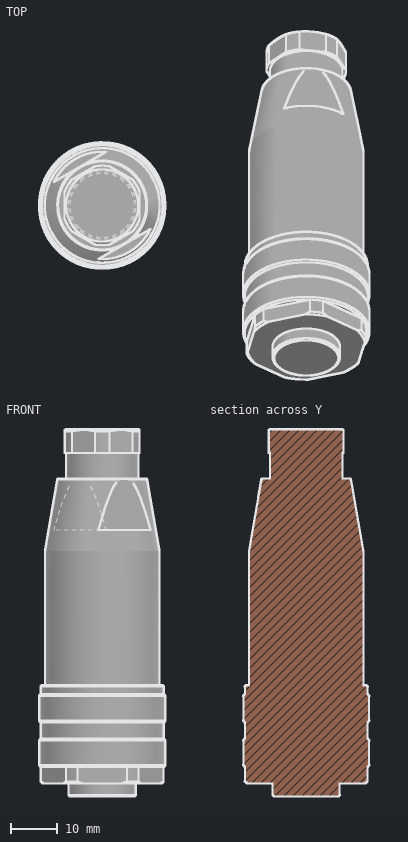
import cadquery as cq
import math

total_height = 78.4
nut_base_z = 2.8
lower_ring_z = 6.3
upper_ring_z = 15.8
collar_top_z = 23.8
cone_base_z = 52.4
cone_top_z = 67.9
cap_base_z = 73.35

plug_radius = 7.2
sleeve_radius = 13.15
ring_radius = 13.5
body_radius = 12.25
cone_top_radius = 9.6
neck_radius = 7.75

ring_height = 6.15
ring_bevel_height = 0.45

plug_chamfer = 0.35
collar_chamfer = 0.25
cone_top_chamfer = 0.2

hex_sides = 6
hex_step_angle = 360 / hex_sides
nut_corner_angle = 0
cap_corner_angle = 30
nut_across_flats = 24.0
nut_corner_radius = 13.12
nut_chamfer = 0.45
cap_across_flats = 16.0
cap_corner_radius = 8.5
cap_face_radius = 7.7
cap_chamfer_angle = 30.0

flat_floor_z = 56.9
flat_across = 19.0
flat_normal_angle = -60.0


def revolve_profile(points):
    """Solid of revolution about Z; points are (radius, z) pairs."""
    return cq.Workplane("XZ").polyline(points).close().revolve(360, (0, 0), (0, 1))


def make_plug():
    return (
        cq.Workplane("XY")
        .circle(plug_radius)
        .extrude(nut_base_z)
        .faces("<Z")
        .edges()
        .chamfer(plug_chamfer)
    )


def make_sleeve():
    sleeve = (
        cq.Workplane("XY")
        .workplane(offset=lower_ring_z)
        .circle(sleeve_radius)
        .extrude(collar_top_z - lower_ring_z)
        .faces(">Z")
        .edges()
        .chamfer(collar_chamfer)
    )
    for base_z in (lower_ring_z, upper_ring_z):
        sleeve = sleeve.union(make_grip_ring(base_z))
    return sleeve


def make_grip_ring(base_z):
    top_z = base_z + ring_height
    return revolve_profile([
        (0, base_z),
        (sleeve_radius, base_z),
        (ring_radius, base_z + ring_bevel_height),
        (ring_radius, top_z - ring_bevel_height),
        (sleeve_radius, top_z),
        (0, top_z),
    ])


def make_body():
    """Straight handle, tapered shoulder and neck, with two flats on the taper."""
    body = revolve_profile([
        (0, collar_top_z),
        (body_radius, collar_top_z),
        (body_radius, cone_base_z),
        (cone_top_radius, cone_top_z - cone_top_chamfer),
        (cone_top_radius - cone_top_chamfer, cone_top_z),
        (neck_radius, cone_top_z),
        (neck_radius, cap_base_z),
        (0, cap_base_z),
    ])
    cut_depth = body_radius
    for side in (1, -1):
        cutter = (
            cq.Workplane("XY")
            .box(cut_depth, 2 * body_radius, cone_top_z - flat_floor_z, centered=(True, True, False))
            .translate((side * (flat_across + cut_depth) / 2, 0, flat_floor_z))
            .rotate((0, 0, 0), (0, 0, 1), flat_normal_angle)
        )
        body = body.cut(cutter)
    return body


def make_hexagon(across_flats, first_corner_angle, base_z, height):
    corner_distance = across_flats / math.sqrt(3)
    corners = []
    for index in range(hex_sides):
        angle = math.radians(first_corner_angle + hex_step_angle * index)
        corners.append((corner_distance * math.cos(angle), corner_distance * math.sin(angle)))
    return cq.Workplane("XY").workplane(offset=base_z).polyline(corners).close().extrude(height)


def make_nut():
    """Lower hexagon: corners on X, turned round and chamfered at the bottom."""
    hexagon = make_hexagon(nut_across_flats, nut_corner_angle, nut_base_z, lower_ring_z - nut_base_z)
    envelope = revolve_profile([
        (0, nut_base_z),
        (nut_corner_radius - nut_chamfer, nut_base_z),
        (nut_corner_radius, nut_base_z + nut_chamfer),
        (nut_corner_radius, lower_ring_z),
        (0, lower_ring_z),
    ])
    return hexagon.intersect(envelope)


def make_cap():
    """Top hexagon: flats facing X, turned round and chamfered at the top."""
    hexagon = make_hexagon(cap_across_flats, cap_corner_angle, cap_base_z, total_height - cap_base_z)
    chamfer_width = cap_corner_radius - cap_face_radius
    chamfer_height = chamfer_width * math.tan(math.radians(cap_chamfer_angle))
    envelope = revolve_profile([
        (0, cap_base_z),
        (cap_corner_radius, cap_base_z),
        (cap_corner_radius, total_height - chamfer_height),
        (cap_face_radius, total_height),
        (0, total_height),
    ])
    return hexagon.intersect(envelope)


result = make_plug().union(make_nut()).union(make_sleeve()).union(make_body()).union(make_cap())